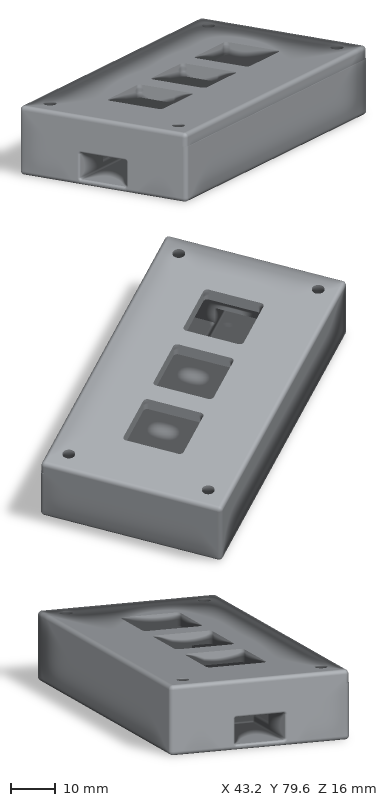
import cadquery as cq
import math

length = 79.6
base_width = 43.15
total_height = 16.0
lid_thickness = 3.0
lid_side_gap = 0.15
edge_radius = 0.95

base_height = total_height - lid_thickness
lid_width = base_width - lid_side_gap

screw_diameter = 2.9
screw_spacing_x = 33.1
screw_spacing_y = 69.6

window_count = 3
window_size = 14.25
window_pitch = 19.0
window_corner_radius = 0.95

cavity_width = 23.0
cavity_length = 59.1
cavity_floor = 3.0

port_width = 12.1
port_height = 6.2
port_bottom = 1.3
port_corner_radius = 0.4
port_edge_radius = 0.5
port_depth = 18.95

port_top = port_bottom + port_height
front_y = -length / 2
cavity_front_y = -cavity_length / 2
trench_end_y = front_y + port_depth


def rounded_block(width, height):
    """Block standing on Z = 0 with rounded upright edges."""
    block = cq.Workplane("XY").box(width, length, height, centered=(True, True, False))
    return block.edges("|Z").fillet(edge_radius)


def cut_screw_holes(body):
    """Drill the four corner holes right through a body."""
    holes = (
        cq.Workplane("XY")
        .rarray(screw_spacing_x, screw_spacing_y, 2, 2)
        .circle(screw_diameter / 2)
        .extrude(total_height)
    )
    return body.cut(holes)


def cut_port_mouth(body):
    """Cut the port through the -Y wall and round its outer rim."""
    wall = cavity_front_y - front_y
    tunnel = (
        cq.Workplane("XY", origin=(0, front_y + wall / 2, port_bottom))
        .box(port_width, wall, port_height, centered=(True, True, False))
        .edges("|Y")
        .fillet(port_corner_radius)
    )
    rim_zone = cq.selectors.BoxSelector(
        (-port_width, front_y - port_edge_radius, (edge_radius + port_bottom) / 2),
        (port_width, front_y + port_edge_radius, port_top + port_edge_radius),
    )
    return body.cut(tunnel).edges(rim_zone).fillet(port_edge_radius)


def make_trench():
    """Trench to cut: rounded bottom corners, sides that roll over onto the cavity floor, rounded end.

    Above the cavity floor the shape widens, but that part lies wholly inside the open cavity.
    """
    half_width = port_width / 2
    half_floor = half_width - port_corner_radius
    half_lip = half_width + port_edge_radius
    half_top = half_lip + 2 * port_edge_radius
    corner_z = port_bottom + port_corner_radius
    lip_z = cavity_floor - port_edge_radius
    corner_bend = port_corner_radius * math.sqrt(0.5)
    lip_bend = port_edge_radius * math.sqrt(0.5)

    end_plane = cq.Plane(origin=(0, trench_end_y, 0), xDir=(1, 0, 0), normal=(0, -1, 0))
    trench = (
        cq.Workplane(end_plane)
        .moveTo(-half_floor, port_bottom)
        .lineTo(half_floor, port_bottom)
        .threePointArc((half_floor + corner_bend, corner_z - corner_bend), (half_width, corner_z))
        .lineTo(half_width, lip_z)
        .threePointArc((half_lip - lip_bend, lip_z + lip_bend), (half_lip, cavity_floor))
        .lineTo(half_top, cavity_floor)
        .lineTo(half_top, port_top)
        .lineTo(-half_top, port_top)
        .lineTo(-half_top, cavity_floor)
        .lineTo(-half_lip, cavity_floor)
        .threePointArc((-half_lip + lip_bend, lip_z + lip_bend), (-half_width, lip_z))
        .lineTo(-half_width, corner_z)
        .threePointArc((-half_floor - corner_bend, corner_z - corner_bend), (-half_floor, port_bottom))
        .close()
        .extrude(trench_end_y - cavity_front_y)
    )
    end_edges = cq.selectors.BoxSelector(
        (-half_top, trench_end_y - port_corner_radius, 0),
        (half_top, trench_end_y + port_corner_radius, cavity_floor + port_corner_radius),
    )
    return trench.faces(">Y").edges(end_edges).fillet(port_corner_radius)


def make_base():
    """Tray with the cavity, the connector port and the screw holes."""
    tray = rounded_block(base_width, base_height).faces("<Z").edges().fillet(edge_radius)
    tray = cut_port_mouth(tray)
    cavity = (
        cq.Workplane("XY", origin=(0, 0, cavity_floor))
        .rect(cavity_width, cavity_length)
        .extrude(base_height - cavity_floor)
    )
    return cut_screw_holes(tray.cut(cavity).cut(make_trench()))


def make_lid():
    """Flat cover with the row of windows and the screw holes."""
    cover = rounded_block(lid_width, lid_thickness).faces(">Z").edges().fillet(edge_radius)
    cover = cover.translate((-lid_side_gap / 2, 0, base_height))
    windows = (
        cq.Workplane("XY", origin=(0, 0, base_height))
        .rarray(0.8, window_pitch, 1, window_count)
        .rect(window_size, window_size)
        .extrude(lid_thickness)
        .edges("|Z")
        .fillet(window_corner_radius)
    )
    return cut_screw_holes(cover.cut(windows))


base = make_base()
lid = make_lid()

result = cq.Compound.makeCompound([base.val(), lid.val()])